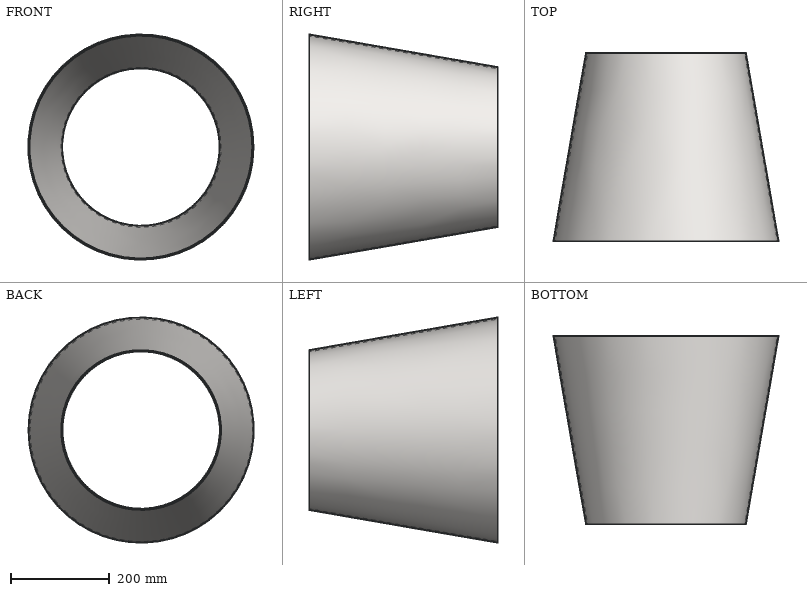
import cadquery as cq

wide_diameter = 456.0
narrow_diameter = 323.8
length = 381.0
wall = 3.0

wide_radius = wide_diameter / 2
narrow_radius = narrow_diameter / 2
narrow_end = length / 2
wide_end = -length / 2

wall_section = (
    cq.Workplane("XY")
    .moveTo(wide_radius, wide_end)
    .lineTo(narrow_radius, narrow_end)
    .lineTo(narrow_radius - wall, narrow_end)
    .lineTo(wide_radius - wall, wide_end)
    .close()
)

result = wall_section.revolve(360, (0, 0, 0), (0, 1, 0))